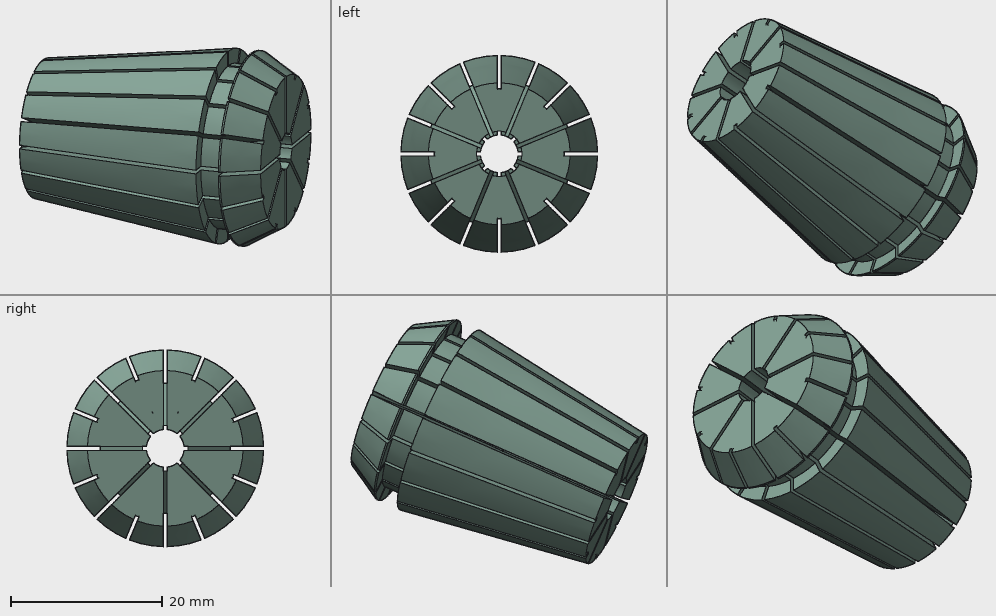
import cadquery as cq
import math

length = 34.0
max_diameter = 26.0
taper_angle = 8.0
taper_length = 25.9
groove_end = 29.05
groove_radius = 11.0
rim_width = 0.25
head_angle = 30.0

bore_radius = 2.48
relief_radius = 3.0
relief_depth = length / 2

slit_count = 8
slit_width = 0.5
slit_run_out = 6.32
small_end_floor_radius = 8.6
large_end_floor_radius = 9.72
slit_pitch = 360 / slit_count
surface_clearance = 0.35

max_radius = max_diameter / 2
rim_end = groove_end + rim_width
small_end_radius = max_radius - taper_length * math.tan(math.radians(taper_angle))
large_end_radius = max_radius - (length - rim_end) * math.tan(math.radians(head_angle))
slit_outer_radius = max_radius + surface_clearance


def revolve_about_x(outline):
    """Solid of revolution from an outline of (x, radius) points."""
    return cq.Workplane("XY").polyline(outline).close().revolve(360, (0, 0, 0), (1, 0, 0))


def cut_slits(part, outline, first_angle):
    """Cut radial slits with one (x, radius) outline, spaced evenly around the X axis."""
    blade = cq.Workplane("XY").polyline(outline).close().extrude(slit_width / 2, both=True)
    for index in range(slit_count):
        angle = first_angle + index * slit_pitch
        part = part.cut(blade.rotate((0, 0, 0), (1, 0, 0), angle))
    return part


body = revolve_about_x([
    (0, 0),
    (0, small_end_radius),
    (taper_length, max_radius),
    (taper_length, groove_radius),
    (groove_end, groove_radius),
    (groove_end, max_radius),
    (rim_end, max_radius),
    (length, large_end_radius),
    (length, 0),
])

bore = revolve_about_x([
    (0, 0),
    (0, relief_radius),
    (relief_depth, relief_radius),
    (relief_depth, bore_radius),
    (length, bore_radius),
    (length, 0),
])

large_end_slit = [
    (slit_run_out, 0),
    (slit_run_out, relief_radius),
    (0, small_end_floor_radius),
    (0, slit_outer_radius),
    (length, slit_outer_radius),
    (length, 0),
]

small_end_slit = [
    (0, 0),
    (0, slit_outer_radius),
    (length, slit_outer_radius),
    (length, large_end_floor_radius),
    (length - slit_run_out, bore_radius),
    (length - slit_run_out, 0),
]

result = body.cut(bore)
result = cut_slits(result, large_end_slit, 0)
result = cut_slits(result, small_end_slit, slit_pitch / 2)